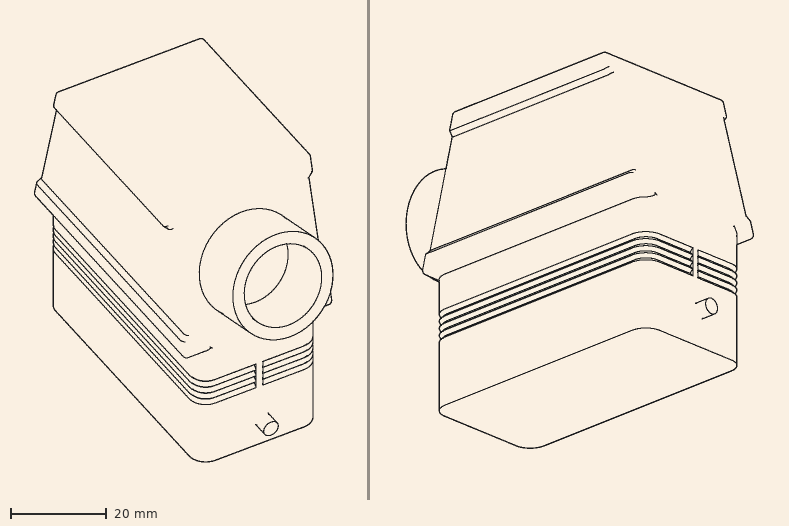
import cadquery as cq
import math

body_length = 62.9
body_width = 29.4
body_corner_radius = 4.0
neck_height = 2.9

total_height = 64.5
hood_width = 36.0
hood_bottom = 29.95
hood_top_length = 44.65
end_slope = 15.0
edge_radius = 1.0

recess_depth = 1.05
recess_bottom = 34.2
recess_top = 60.15

groove_count = 4
groove_pitch = 1.6
groove_depth = 0.8
grooves_bottom = 15.6
rib_width = 1.6

pin_diameter = 3.5
pin_span = 72.3
pin_height = 7.5
pin_root_radius = 1.0

tube_diameter = 24.0
bore_diameter = 18.55
tube_projection = 14.3
tube_entry_height = 46.1
tube_embed = 4.0

slope_run = math.tan(math.radians(end_slope))


def hood_half_length(z):
    """Half length of the hood at height z."""
    return hood_top_length / 2 + (total_height - z) * slope_run


def make_hood_prism():
    """Sharp-edged trapezoidal hood."""
    bottom_half = hood_half_length(hood_bottom)
    top_half = hood_top_length / 2
    return (
        cq.Workplane("XZ")
        .polyline([
            (-bottom_half, hood_bottom),
            (bottom_half, hood_bottom),
            (top_half, total_height),
            (-top_half, total_height),
        ])
        .close()
        .extrude(hood_width / 2, both=True)
    )


def make_recess(side):
    """Cutter for the recess in the long hood face at side = +1 or -1."""
    face_y = side * hood_width / 2
    floor_y = face_y - side * recess_depth
    return (
        cq.Workplane("YZ")
        .polyline([
            (face_y, recess_bottom),
            (floor_y, recess_bottom + recess_depth),
            (floor_y, recess_top - recess_depth),
            (face_y, recess_top),
        ])
        .close()
        .extrude(body_length, both=True)
    )


def make_hood():
    """Recessed hood with its end, top and bottom edges rounded."""
    hood = make_hood_prism()
    for side in (1, -1):
        hood = hood.cut(make_recess(side))
    end_edges = hood.faces("<X or >X").edges()
    rims = hood.faces("<Z or >Z").edges()
    return hood.newObject(end_edges.vals() + rims.vals()).fillet(edge_radius)


def body_block(z_bottom, height, taper=0):
    """Block with the body outline at its base, narrowing upwards by the taper angle."""
    outline = cq.Sketch().rect(body_length, body_width).vertices().fillet(body_corner_radius)
    return (
        cq.Workplane("XY", origin=(0, 0, z_bottom))
        .placeSketch(outline)
        .extrude(height, taper=taper)
    )


def make_groove(z_bottom):
    """V-shaped ring cutter around the body, left out at the end ribs."""
    half_pitch = groove_pitch / 2
    flank_angle = math.degrees(math.atan(groove_depth / half_pitch))
    lower_core = body_block(z_bottom, half_pitch, flank_angle)
    upper_core = lower_core.mirror("XY", (0, 0, z_bottom + half_pitch))
    ribs = (
        cq.Workplane("XY", origin=(0, 0, z_bottom))
        .rect(body_length, rib_width)
        .extrude(groove_pitch)
    )
    return body_block(z_bottom, groove_pitch).cut(lower_core).cut(upper_core).cut(ribs)


def make_body():
    """Grooved body, running up into the hood between its sloping ends."""
    body = body_block(0, hood_bottom)
    for i in range(groove_count):
        body = body.cut(make_groove(grooves_bottom + i * groove_pitch))
    neck = body_block(hood_bottom, neck_height)
    return body.union(neck.intersect(make_hood_prism()))


def make_pins():
    """One round pin per end face, flaring into the body with a concave root."""
    radius = pin_diameter / 2
    root_x = body_length / 2
    tip_x = pin_span / 2
    pin = (
        cq.Workplane("XY")
        .lineTo(0, radius + pin_root_radius)
        .lineTo(root_x, radius + pin_root_radius)
        .radiusArc((root_x + pin_root_radius, radius), -pin_root_radius)
        .lineTo(tip_x, radius)
        .lineTo(tip_x, 0)
        .close()
        .revolve(360, (0, 0, 0), (1, 0, 0))
        .translate((0, 0, pin_height))
    )
    return pin.union(pin.mirror("YZ"))


def tube_plane():
    """Plane of the sloping +X hood face, centred on the cable entry."""
    slope = math.radians(end_slope)
    return cq.Plane(
        origin=(hood_half_length(tube_entry_height), 0, tube_entry_height),
        xDir=(0, 1, 0),
        normal=(math.cos(slope), 0, math.sin(slope)),
    )


def make_tube():
    """Outer cylinder of the cable entry."""
    return (
        cq.Workplane(tube_plane())
        .workplane(offset=-tube_embed)
        .circle(tube_diameter / 2)
        .extrude(tube_embed + tube_projection)
    )


def make_bore():
    """Bore of the cable entry, ending at the hood face."""
    return cq.Workplane(tube_plane()).circle(bore_diameter / 2).extrude(tube_projection)


result = (
    make_body()
    .union(make_hood())
    .union(make_pins())
    .union(make_tube())
    .cut(make_bore())
)